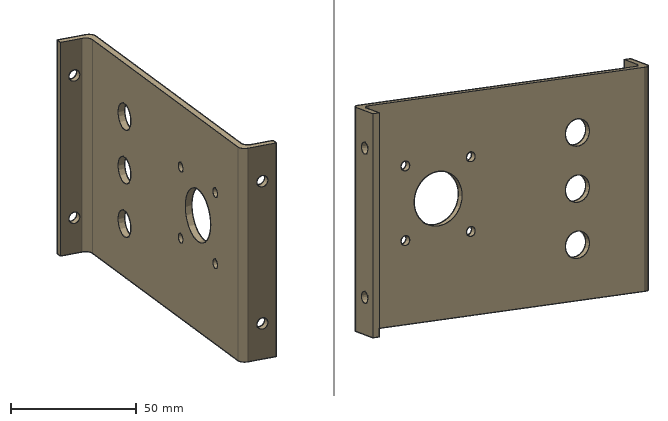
import cadquery as cq

length = 137.2
depth = 28.4
height = 91.5
thickness = 3.0
bend_radius = 3.0

column_x = -34.3
column_pitch = 22.9
column_diameter = 11.1

bore_x = 30.5
bore_z = 3.8
bore_diameter = 22.2
screw_spacing = 30.5
screw_diameter = 4.0

flange_hole_y = 8.0
flange_hole_spacing = 60.9
flange_hole_diameter = 4.8


def make_sheet():
    """Web along X, left flange toward -Y and right flange toward +Y."""
    end_x = length / 2
    end_y = depth / 2
    inner_x = end_x - thickness
    face_y = thickness / 2
    profile = [
        (-end_x, -end_y),
        (-inner_x, -end_y),
        (-inner_x, -face_y),
        (end_x, -face_y),
        (end_x, end_y),
        (inner_x, end_y),
        (inner_x, face_y),
        (-end_x, face_y),
    ]
    sheet = cq.Workplane("XY", origin=(0, 0, -height / 2)).polyline(profile).close().extrude(height)
    bend_box = cq.selectors.BoxSelector(
        (-length, -thickness, -height),
        (length, thickness, height),
    )
    return sheet.edges("|Z").edges(bend_box).fillet(bend_radius)


def web_cutters(points, diameter):
    """Cylinders along Y through the web at the given (x, z) points."""
    return (
        cq.Workplane("XZ", origin=(0, thickness, 0))
        .pushPoints(points)
        .circle(diameter / 2)
        .extrude(2 * thickness)
    )


def flange_cutters():
    """Cylinders along X through both flanges; each line meets one flange."""
    half_spacing = flange_hole_spacing / 2
    points = [(y, z) for y in (-flange_hole_y, flange_hole_y) for z in (-half_spacing, half_spacing)]
    return (
        cq.Workplane("YZ", origin=(-length, 0, 0))
        .pushPoints(points)
        .circle(flange_hole_diameter / 2)
        .extrude(2 * length)
    )


column_points = [(column_x, row * column_pitch) for row in (-1, 0, 1)]
screw_points = [
    (bore_x + side_x * screw_spacing / 2, bore_z + side_z * screw_spacing / 2)
    for side_x in (-1, 1)
    for side_z in (-1, 1)
]

result = (
    make_sheet()
    .cut(web_cutters(column_points, column_diameter))
    .cut(web_cutters([(bore_x, bore_z)], bore_diameter))
    .cut(web_cutters(screw_points, screw_diameter))
    .cut(flange_cutters())
)